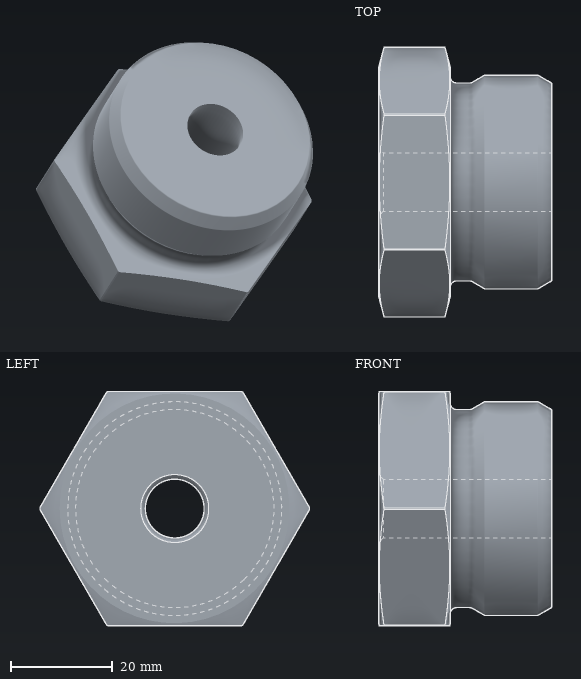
import cadquery as cq
import math

total_length = 34.0

head_length = 14.1
across_flats = 46.0
corner_diameter = 52.95
face_diameter = 45.05
head_chamfer_angle = math.radians(15)

shank_diameter = 42.0
neck_diameter = 38.9
shank_start = 20.8
shank_chamfer_angle = math.radians(30)
end_chamfer_length = 2.75
undercut_radius = 1.2
edge_radius = 0.3

bore_diameter = 11.5
bore_mouth_diameter = 13.35


def make_head():
    """Hexagon with two corners on Y, trimmed by a chamfered disc."""
    hexagon = (
        cq.Workplane("YZ")
        .polygon(6, across_flats / math.cos(math.pi / 6))
        .extrude(head_length)
    )
    corner_radius = corner_diameter / 2
    face_radius = face_diameter / 2
    chamfer_length = (corner_radius - face_radius) * math.tan(head_chamfer_angle)
    disc = (
        cq.Workplane("XY")
        .moveTo(0, 0)
        .lineTo(0, face_radius)
        .lineTo(chamfer_length, corner_radius)
        .lineTo(head_length - chamfer_length, corner_radius)
        .lineTo(head_length, face_radius)
        .lineTo(head_length, 0)
        .close()
        .revolve(360, (0, 0, 0), (1, 0, 0))
    )
    return hexagon.intersect(disc)


def make_shank():
    """Revolved shank: rounded neck, conical shoulder, cylinder and end chamfer."""
    neck_radius = neck_diameter / 2
    shank_radius = shank_diameter / 2
    slope = math.tan(shank_chamfer_angle)
    neck_end = shank_start - (shank_radius - neck_radius) / slope

    head_fillet_x = head_length + undercut_radius
    head_fillet_r = neck_radius + undercut_radius
    head_fillet_mid = undercut_radius * math.sqrt(0.5)

    tangent_length = undercut_radius * math.tan(shank_chamfer_angle / 2)
    arc_start = neck_end - tangent_length
    arc_center_r = neck_radius + undercut_radius

    def shoulder_arc_point(angle):
        return (
            arc_start + undercut_radius * math.sin(angle),
            arc_center_r - undercut_radius * math.cos(angle),
        )

    shank = (
        cq.Workplane("XY")
        .moveTo(head_length, 0)
        .lineTo(head_length, head_fillet_r)
        .threePointArc(
            (head_fillet_x - head_fillet_mid, head_fillet_r - head_fillet_mid),
            (head_fillet_x, neck_radius),
        )
        .lineTo(arc_start, neck_radius)
        .threePointArc(
            shoulder_arc_point(shank_chamfer_angle / 2),
            shoulder_arc_point(shank_chamfer_angle),
        )
        .lineTo(shank_start, shank_radius)
        .lineTo(total_length - end_chamfer_length, shank_radius)
        .lineTo(total_length, shank_radius - end_chamfer_length * slope)
        .lineTo(total_length, 0)
        .close()
        .revolve(360, (0, 0, 0), (1, 0, 0))
    )

    past_undercut = cq.selectors.BoxSelector(
        (shank_start - edge_radius, -shank_diameter, -shank_diameter),
        (total_length + edge_radius, shank_diameter, shank_diameter),
    )
    return shank.edges("%CIRCLE").edges(past_undercut).fillet(edge_radius)


def make_bore():
    """Through bore with a 45 degree countersink at the hexagon face."""
    bore_radius = bore_diameter / 2
    mouth_radius = bore_mouth_diameter / 2
    countersink_depth = mouth_radius - bore_radius
    return (
        cq.Workplane("XY")
        .moveTo(0, 0)
        .lineTo(0, mouth_radius)
        .lineTo(countersink_depth, bore_radius)
        .lineTo(total_length, bore_radius)
        .lineTo(total_length, 0)
        .close()
        .revolve(360, (0, 0, 0), (1, 0, 0))
    )


result = make_head().union(make_shank()).cut(make_bore())